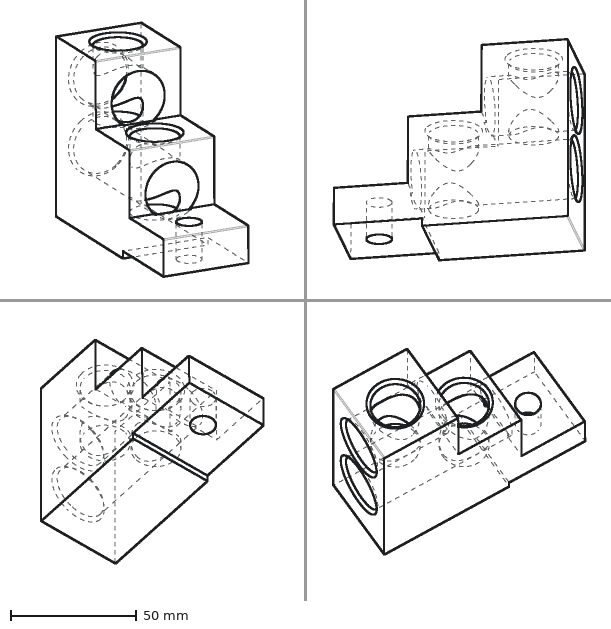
import cadquery as cq
import math

length = 95.2
width = 38.1
height = 76.2
upper_step_x = 35.2
middle_step_x = 65.1
middle_height = 47.5
tongue_height = 18.9

relief_x = 59.2
relief_height = 3.1

edge_radius = 0.5

riser_draft = 0.3

wire_diameter = 23.8
wire_chamfer = 1.5
wire_overrun = 0.95
upper_wire_z = 57.1
lower_wire_z = 27.8

screw_diameter = 20.0
screw_chamfer = 1.5
upper_screw_x = 17.3
middle_screw_x = 49.9
floor_below_wire = 2.0

mount_x = 80.2
mount_diameter = 10.3


def riser_top(foot_x, foot_z, top_z):
    """Top point of a riser that leans back from its foot."""
    return (foot_x - (top_z - foot_z) * math.tan(math.radians(riser_draft)), top_z)


def stepped_block():
    """Staircase outline in XZ, centred on Y, with its outer edges rounded."""
    upper_top = riser_top(upper_step_x, middle_height, height)
    middle_top = riser_top(middle_step_x, tongue_height, middle_height)
    tongue_top = riser_top(length, relief_height, tongue_height)
    block = (
        cq.Workplane("XZ")
        .moveTo(0, 0)
        .lineTo(relief_x, 0)
        .lineTo(relief_x, relief_height)
        .lineTo(length, relief_height)
        .lineTo(*tongue_top)
        .lineTo(middle_step_x, tongue_height)
        .lineTo(*middle_top)
        .lineTo(upper_step_x, middle_height)
        .lineTo(*upper_top)
        .lineTo(0, height)
        .close()
        .extrude(width / 2, both=True)
    )
    rounded_corners = [
        (0, 0),
        (0, height),
        upper_top,
        middle_top,
        tongue_top,
    ]
    for x, z in rounded_corners:
        corner_edge = cq.selectors.NearestToPointSelector((x, 0, z))
        block = block.edges(corner_edge).fillet(edge_radius)
    return block


def chamfered_bore(mouth, direction, diameter, depth, chamfer):
    """Cutter for a flat-bottomed bore with a 45 degree chamfer at its mouth."""
    radius = diameter / 2
    bore = cq.Solid.makeCylinder(radius, depth, mouth, direction)
    lead_in = cq.Solid.makeCone(radius + chamfer, radius, chamfer, mouth, direction)
    return bore.fuse(lead_in)


def clamp_bores(riser_x, tread_z, wire_z, screw_x):
    """Cutter for one wire bore and the screw bore that crosses it."""
    wire = chamfered_bore(
        cq.Vector(0, 0, wire_z), cq.Vector(1, 0, 0),
        wire_diameter, riser_x + wire_overrun, wire_chamfer,
    )
    screw_floor_z = wire_z - wire_diameter / 2 - floor_below_wire
    screw = chamfered_bore(
        cq.Vector(screw_x, 0, tread_z), cq.Vector(0, 0, -1),
        screw_diameter, tread_z - screw_floor_z, screw_chamfer,
    )
    return wire.fuse(screw)


mount_hole = cq.Workplane("XY").center(mount_x, 0).circle(mount_diameter / 2).extrude(height)

result = (
    stepped_block()
    .cut(cq.Workplane(clamp_bores(upper_step_x, height, upper_wire_z, upper_screw_x)))
    .cut(cq.Workplane(clamp_bores(middle_step_x, middle_height, lower_wire_z, middle_screw_x)))
    .cut(mount_hole)
)